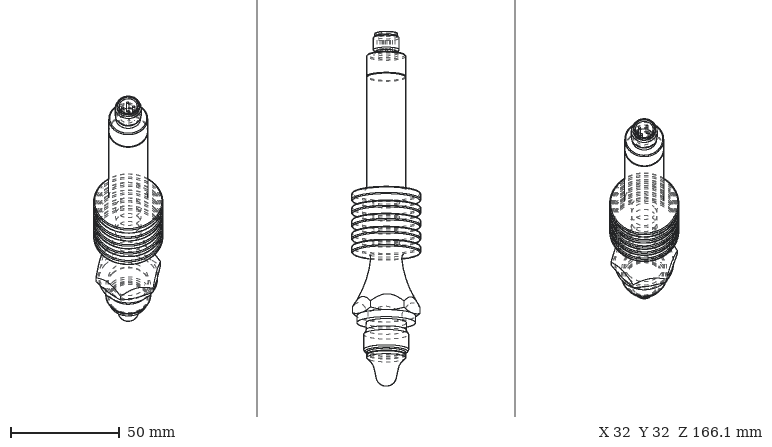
import math

import cadquery as cq

TOTAL_LENGTH = 166.11

TIP_RADIUS = 4.8
TIP_TAPER = math.radians(12)
TIP_TAPER_TOP_Z = 8.4
TIP_FILLET = 7.0
SEAT_ANGLE = math.radians(45)

COLLAR_RADIUS = 9.0
COLLAR_GROOVE_Z = 14.7
COLLAR_GROOVE_WIDTH = 0.3
COLLAR_GROOVE_DEPTH = 0.2
COLLAR_TOP_Z = 15.9
THREAD_RADIUS = 10.4
THREAD_BOTTOM_Z = 17.2
THREAD_CHAMFER_DROP = 0.9
THREAD_CHAMFER = 0.5
THREAD_TOP_Z = 24.4
RELIEF_RADIUS = 9.3
RELIEF_CONE_TOP_Z = 26.4
RELIEF_STEP_RADIUS = 9.7
RELIEF_STEP_Z = 25.4

FLANGE_BOTTOM_Z = 29.8
FLANGE_TOP_Z = 33.1
HEX_SIDES = 6
HEX_ACROSS_FLATS = 27.0
HEX_CORNER_DIAMETER = HEX_ACROSS_FLATS / math.cos(math.pi / HEX_SIDES)
HEX_BLANK_RADIUS = 16.0
HEX_CHAMFER_ANGLE = math.radians(30)
NECK_RADIUS = 7.15
NECK_TOP_Z = 60.4
FLARE_RADIUS = 49.0
FLARE_START_ANGLE = math.radians(5.5)

FIN_COUNT = 5
FIN_RADIUS = 16.0
FIN_THICKNESS = 3.1
FIN_PITCH = 6.15
FIN_CHAMFER = 0.5
FINS_BOTTOM_Z = 62.75
TOP_FIN_EXTRA = 0.4
FIN_CORE_RADIUS = 6.0
FIN_ROOT_FILLET = (FIN_PITCH - FIN_THICKNESS) / 2
NECK_FILLET = FINS_BOTTOM_Z - NECK_TOP_Z

TUBE_RADIUS = 9.0
TUBE_FILLET = 2.5
TOP_FIN_RISE = 0.6
TOP_FIN_EDGE_Z = FINS_BOTTOM_Z + (FIN_COUNT - 1) * FIN_PITCH + FIN_THICKNESS + TOP_FIN_EXTRA
TUBE_FILLET_BOTTOM_Z = TOP_FIN_EDGE_Z + TOP_FIN_RISE
TUBE_FILLET_TOP_Z = TUBE_FILLET_BOTTOM_Z + TUBE_FILLET
TUBE_TOP_Z = 156.0
TUBE_CHAMFER = 0.5
TUBE_GROOVE_Z = 145.6
TUBE_GROOVE_WIDTH = 0.4
TUBE_GROOVE_DEPTH = 0.15

PLUG_RADIUS = 6.0
PLUG_NECK_RADIUS = 5.0
PLUG_FOOT_CHAMFER = 0.75
PLUG_NECK_TOP_Z = 157.6
PLUG_BOTTOM_Z = 158.5
PLUG_TOP_Z = 164.1
PLUG_LIP_RADIUS = 5.3
SOCKET_MOUTH_RADIUS = 4.7
SOCKET_RADIUS = 4.15
SOCKET_DEPTH = 8.0
SOCKET_FLOOR_Z = TOTAL_LENGTH - SOCKET_DEPTH
PIN_COUNT = 4
PIN_DIAMETER = 1.0
PIN_CIRCLE_RADIUS = 2.55
PIN_TURN = -11.0
PIN_LENGTH = 6.5
KEY_TURN = PIN_TURN + 180 / PIN_COUNT
KEY_WIDTH = 0.8
KEY_INNER_RADIUS = 3.4
KEY_LENGTH = 7.0

UPPER_INNER = math.radians(135)
LOWER_INNER = math.radians(225)


def on_arc(centre, radius, angle):
    """Point (r, z) on a circle in the profile plane; angle 0 points outward."""
    return (centre[0] + radius * math.cos(angle), centre[1] + radius * math.sin(angle))


def revolved(profile):
    """Solid of revolution about Z from an open profile that starts and ends on the axis."""
    return profile.close().revolve(360, (0, 0, 0), (0, 1, 0))


def ring(bottom_z, width, outer_radius, depth):
    """Annular cutter for a shallow turned groove."""
    plane = cq.Workplane("XY").workplane(offset=bottom_z)
    return plane.circle(outer_radius + depth).circle(outer_radius - depth).extrude(width)


def probe_tip():
    """Ball tip, tapered nose, seat cone, collar, thread and relief neck."""
    ball = (0, TIP_RADIUS)
    ball_end = on_arc(ball, TIP_RADIUS, -TIP_TAPER)
    taper_rise = TIP_TAPER_TOP_Z - ball_end[1]
    taper_top = (ball_end[0] + taper_rise * math.tan(TIP_TAPER), TIP_TAPER_TOP_Z)
    blend = on_arc(taper_top, TIP_FILLET, -TIP_TAPER)
    blend_middle = on_arc(blend, TIP_FILLET, math.pi - (TIP_TAPER + SEAT_ANGLE) / 2)
    blend_end = on_arc(blend, TIP_FILLET, math.pi - SEAT_ANGLE)
    collar_bottom_z = blend_end[1] + (COLLAR_RADIUS - blend_end[0]) / math.tan(SEAT_ANGLE)
    ball_middle = on_arc(ball, TIP_RADIUS, -(math.pi / 2 + TIP_TAPER) / 2)
    profile = (
        cq.Workplane("XZ")
        .moveTo(0, 0)
        .threePointArc(ball_middle, ball_end)
        .lineTo(*taper_top)
        .threePointArc(blend_middle, blend_end)
        .lineTo(COLLAR_RADIUS, collar_bottom_z)
        .lineTo(COLLAR_RADIUS, COLLAR_TOP_Z)
        .lineTo(THREAD_RADIUS - THREAD_CHAMFER, THREAD_BOTTOM_Z - THREAD_CHAMFER_DROP)
        .lineTo(THREAD_RADIUS, THREAD_BOTTOM_Z)
        .lineTo(THREAD_RADIUS, THREAD_TOP_Z)
        .lineTo(RELIEF_STEP_RADIUS, RELIEF_STEP_Z)
        .lineTo(RELIEF_RADIUS, RELIEF_CONE_TOP_Z)
        .lineTo(RELIEF_RADIUS, FLANGE_BOTTOM_Z)
        .lineTo(0, FLANGE_BOTTOM_Z)
    )
    groove = ring(COLLAR_GROOVE_Z, COLLAR_GROOVE_WIDTH, COLLAR_RADIUS, COLLAR_GROOVE_DEPTH)
    return revolved(profile).cut(groove)


def hexagon_and_neck():
    """Flared neck whose wide end is milled to a hexagon above a round flange."""
    flange_radius = HEX_ACROSS_FLATS / 2
    chamfer_top_z = FLANGE_TOP_Z + (HEX_BLANK_RADIUS - flange_radius) * math.tan(HEX_CHAMFER_ANGLE)
    neck = (NECK_RADIUS, NECK_TOP_Z)
    flare = on_arc(neck, FLARE_RADIUS, FLARE_START_ANGLE)
    flare_end_angle = math.acos((flare[0] - HEX_BLANK_RADIUS) / FLARE_RADIUS)
    flare_middle = on_arc(flare, FLARE_RADIUS, math.pi + (FLARE_START_ANGLE + flare_end_angle) / 2)
    flare_end = on_arc(flare, FLARE_RADIUS, math.pi + flare_end_angle)
    profile = (
        cq.Workplane("XZ")
        .moveTo(0, FLANGE_TOP_Z)
        .lineTo(flange_radius, FLANGE_TOP_Z)
        .lineTo(HEX_BLANK_RADIUS, chamfer_top_z)
        .lineTo(*flare_end)
        .threePointArc(flare_middle, neck)
        .lineTo(0, NECK_TOP_Z)
    )
    hexagon = (
        cq.Workplane("XY")
        .workplane(offset=FLANGE_TOP_Z)
        .transformed(rotate=(0, 0, 90))
        .polygon(HEX_SIDES, HEX_CORNER_DIAMETER)
        .extrude(NECK_TOP_Z - FLANGE_TOP_Z)
    )
    flange = (
        cq.Workplane("XY")
        .workplane(offset=FLANGE_BOTTOM_Z)
        .circle(flange_radius)
        .extrude(FLANGE_TOP_Z - FLANGE_BOTTOM_Z)
    )
    return revolved(profile).intersect(hexagon).union(flange)


def cooling_fins():
    """Fins joined by a core whose gaps have rounded roots, from neck to tube."""
    neck_fillet = (NECK_RADIUS + NECK_FILLET, NECK_TOP_Z)
    tube_fillet = (TUBE_RADIUS + TUBE_FILLET, TUBE_FILLET_TOP_Z)
    root_radius = FIN_CORE_RADIUS + FIN_ROOT_FILLET
    profile = (
        cq.Workplane("XZ")
        .moveTo(0, NECK_TOP_Z)
        .lineTo(NECK_RADIUS, NECK_TOP_Z)
        .threePointArc(
            on_arc(neck_fillet, NECK_FILLET, UPPER_INNER),
            (NECK_RADIUS + NECK_FILLET, FINS_BOTTOM_Z),
        )
    )
    for index in range(FIN_COUNT):
        bottom_z = FINS_BOTTOM_Z + index * FIN_PITCH
        is_top = index == FIN_COUNT - 1
        top_z = TOP_FIN_EDGE_Z if is_top else bottom_z + FIN_THICKNESS
        profile = (
            profile.lineTo(FIN_RADIUS - FIN_CHAMFER, bottom_z)
            .lineTo(FIN_RADIUS, bottom_z + FIN_CHAMFER)
            .lineTo(FIN_RADIUS, top_z - FIN_CHAMFER)
            .lineTo(FIN_RADIUS - FIN_CHAMFER, top_z)
        )
        if not is_top:
            profile = profile.lineTo(root_radius, top_z).threePointArc(
                (FIN_CORE_RADIUS, top_z + FIN_ROOT_FILLET),
                (root_radius, bottom_z + FIN_PITCH),
            )
    profile = (
        profile.lineTo(TUBE_RADIUS + TUBE_FILLET, TUBE_FILLET_BOTTOM_Z)
        .threePointArc(
            on_arc(tube_fillet, TUBE_FILLET, LOWER_INNER),
            (TUBE_RADIUS, TUBE_FILLET_TOP_Z),
        )
        .lineTo(0, TUBE_FILLET_TOP_Z)
    )
    return revolved(profile)


def tube_and_plug():
    """Plain tube with a joint groove, carrying the hollow plug connector."""
    profile = (
        cq.Workplane("XZ")
        .moveTo(0, TUBE_FILLET_TOP_Z)
        .lineTo(TUBE_RADIUS, TUBE_FILLET_TOP_Z)
        .lineTo(TUBE_RADIUS, TUBE_TOP_Z - TUBE_CHAMFER)
        .lineTo(TUBE_RADIUS - TUBE_CHAMFER, TUBE_TOP_Z)
        .lineTo(PLUG_NECK_RADIUS + PLUG_FOOT_CHAMFER, TUBE_TOP_Z)
        .lineTo(PLUG_NECK_RADIUS, TUBE_TOP_Z + PLUG_FOOT_CHAMFER)
        .lineTo(PLUG_NECK_RADIUS, PLUG_NECK_TOP_Z)
        .lineTo(PLUG_RADIUS, PLUG_BOTTOM_Z)
        .lineTo(PLUG_RADIUS, PLUG_TOP_Z)
        .lineTo(PLUG_LIP_RADIUS, PLUG_TOP_Z + PLUG_RADIUS - PLUG_LIP_RADIUS)
        .lineTo(PLUG_LIP_RADIUS, TOTAL_LENGTH)
        .lineTo(SOCKET_MOUTH_RADIUS, TOTAL_LENGTH)
        .lineTo(SOCKET_RADIUS, TOTAL_LENGTH - (SOCKET_MOUTH_RADIUS - SOCKET_RADIUS))
        .lineTo(SOCKET_RADIUS, SOCKET_FLOOR_Z)
        .lineTo(0, SOCKET_FLOOR_Z)
    )
    groove = ring(TUBE_GROOVE_Z, TUBE_GROOVE_WIDTH, TUBE_RADIUS, TUBE_GROOVE_DEPTH)
    return revolved(profile).cut(groove)


def contact_pins():
    """Round contacts standing on the socket floor."""
    return (
        cq.Workplane("XY")
        .workplane(offset=SOCKET_FLOOR_Z)
        .polarArray(PIN_CIRCLE_RADIUS, PIN_TURN, 360, PIN_COUNT)
        .circle(PIN_DIAMETER / 2)
        .extrude(PIN_LENGTH)
    )


def coding_key():
    """Rib on the socket wall that sets the turn of the mating plug."""
    key_outer_radius = (SOCKET_RADIUS + PLUG_RADIUS) / 2
    return (
        cq.Workplane("XY")
        .workplane(offset=SOCKET_FLOOR_Z)
        .center((KEY_INNER_RADIUS + key_outer_radius) / 2, 0)
        .rect(key_outer_radius - KEY_INNER_RADIUS, KEY_WIDTH)
        .extrude(KEY_LENGTH)
        .rotate((0, 0, 0), (0, 0, 1), KEY_TURN)
    )


result = (
    probe_tip()
    .union(hexagon_and_neck())
    .union(cooling_fins())
    .union(tube_and_plug())
    .union(contact_pins())
    .union(coding_key())
)